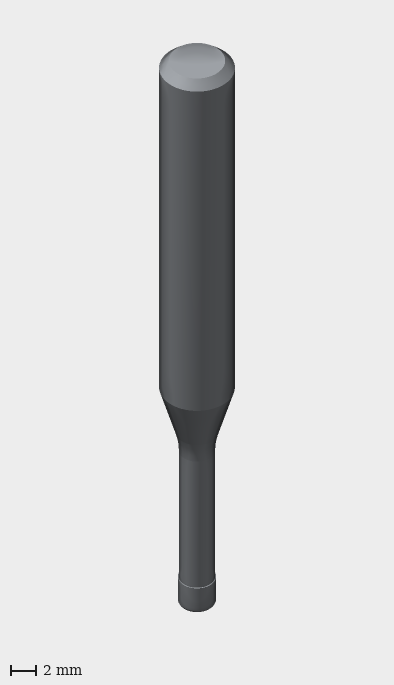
import cadquery as cq
import math

total_length = 55.0
shank_diameter = 6.0
shank_radius = shank_diameter / 2
neck_diameter = 2.85
neck_radius = neck_diameter / 2
head_diameter = 3.0
head_radius = head_diameter / 2

head_length = 2.6
head_corner_radius = 0.35

blend_start_z = 15.4
taper_top_z = 21.85
taper_half_angle = math.radians(16)

chamfer_height = 0.7
chamfer_width = 0.75


def make_head():
    """Short cylinder with a rounded lower rim."""
    head = cq.Workplane("XY").circle(head_radius).extrude(head_length)
    return head.faces("<Z").edges().fillet(head_corner_radius)


def make_shank():
    """Neck, tangent blend, taper and chamfered shank, revolved about Z."""
    corner_z = taper_top_z - (shank_radius - neck_radius) / math.tan(taper_half_angle)
    tangent_length = corner_z - blend_start_z
    blend_radius = tangent_length / math.tan(taper_half_angle / 2)

    def blend_point(angle):
        radius = neck_radius + blend_radius * (1 - math.cos(angle))
        return radius, blend_start_z + blend_radius * math.sin(angle)

    profile = (
        cq.Workplane("XZ")
        .moveTo(0, head_length)
        .lineTo(neck_radius, head_length)
        .lineTo(neck_radius, blend_start_z)
        .threePointArc(blend_point(taper_half_angle / 2), blend_point(taper_half_angle))
        .lineTo(shank_radius, taper_top_z)
        .lineTo(shank_radius, total_length - chamfer_height)
        .lineTo(shank_radius - chamfer_width, total_length)
        .lineTo(0, total_length)
        .close()
    )
    return profile.revolve(360, (0, 0, 0), (0, 1, 0))


cutting_head = make_head()
shank = make_shank()

result = cq.Compound.makeCompound([cutting_head.val(), shank.val()])